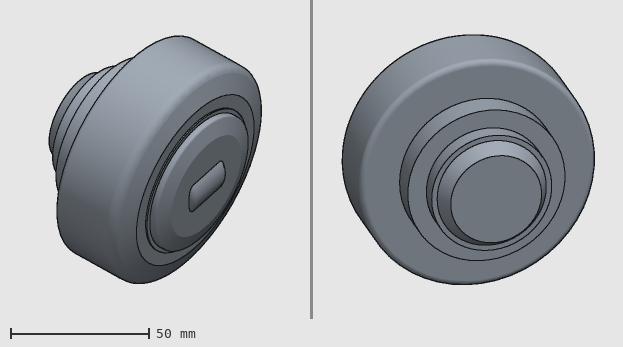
import cadquery as cq

total_length = 61.0

nose_tip_radius = 17.1
nose_base_radius = 20.5
nose_end = 5.9
collar_radius = 22.5
collar_end = 13.0
flange_radius = 29.5

wheel_radius = 44.2
wheel_start = 23.9
wheel_end = 53.8
wheel_face_radius = 34.4
wheel_shoulder_start = 50.3
wheel_rear_fillet = 2.1
wheel_front_fillet = 3.8

ring_radius = 29.0
ring_end = 54.4

cap_radius = 27.4
cap_end = 58.95
cap_face_radius = 20.5
cap_shoulder_start = 56.8
cap_fillet = 0.9

side_roller_radius = 11.9
side_roller_length = 20.9
side_roller_fillet = 3.0


def turned(*profile):
    """Revolve a profile of (x, radius) points about the X axis."""
    start, end = profile[0][0], profile[-1][0]
    outline = [(start, 0), *profile, (end, 0)]
    return cq.Workplane("XY").polyline(outline).close().revolve(360, (0, 0, 0), (1, 0, 0))


def circle_at(x):
    """Select circular edges whose centre lies at the given X station."""
    margin = 0.04
    return cq.selectors.BoxSelector((x - margin, -0.9, -0.9), (x + margin, 0.9, 0.9))


shank = turned(
    (0, nose_tip_radius),
    (nose_end, nose_base_radius),
    (nose_end, collar_radius),
    (collar_end, collar_radius),
    (collar_end, flange_radius),
    (wheel_start, flange_radius),
)

wheel = turned(
    (wheel_start, wheel_radius),
    (wheel_shoulder_start, wheel_radius),
    (wheel_end, wheel_face_radius),
)
wheel = wheel.edges(circle_at(wheel_start)).fillet(wheel_rear_fillet)
wheel = wheel.edges(circle_at(wheel_shoulder_start)).fillet(wheel_front_fillet)

ring = turned((wheel_end, ring_radius), (ring_end, ring_radius))

cap = turned(
    (ring_end, cap_radius),
    (cap_shoulder_start, cap_radius),
    (cap_end, cap_face_radius),
)
cap = cap.edges(circle_at(cap_shoulder_start)).fillet(cap_fillet)

side_roller = (
    cq.Workplane("XZ")
    .center(total_length - side_roller_radius, 0)
    .circle(side_roller_radius)
    .extrude(side_roller_length / 2, both=True)
    .edges("%CIRCLE")
    .fillet(side_roller_fillet)
)

result = shank.union(wheel).union(ring).union(cap).union(side_roller)